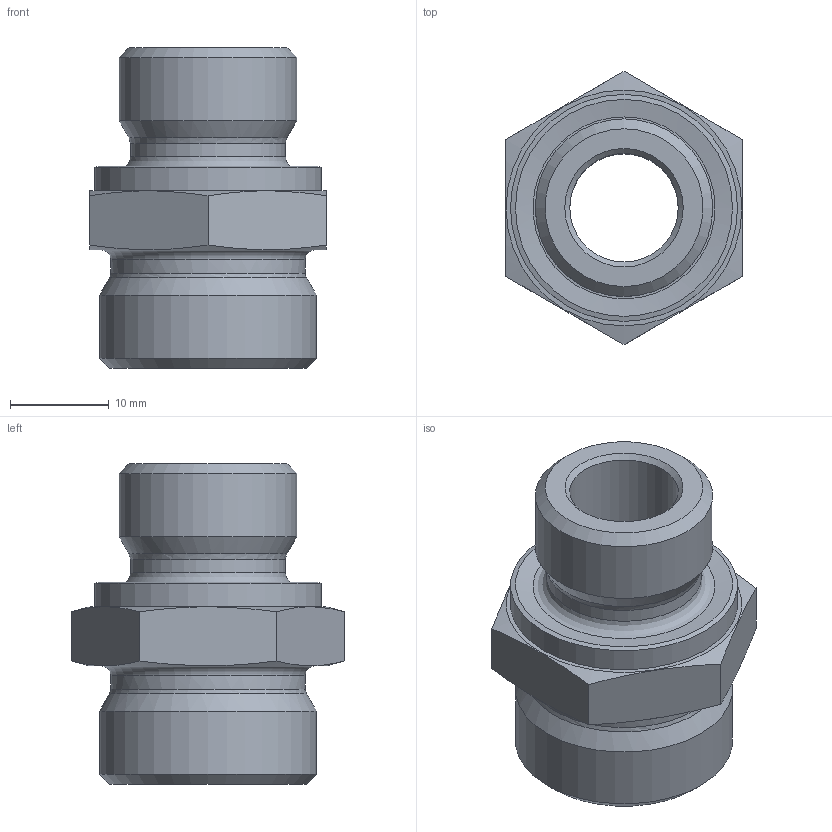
import cadquery as cq
import math

TOTAL_HEIGHT = 32.5
BORE_DIAMETER = 11.0
BORE_CHAMFER = 0.5
END_CHAMFER = 1.0

LOWER_END_DIAMETER = 22.0
UPPER_END_DIAMETER = 18.0
LOWER_NECK_DIAMETER = 19.7
UPPER_NECK_DIAMETER = 15.7
END_LENGTH = 7.42
RELIEF_ANGLE = 30.0
LOWER_RELIEF_RADIUS = 0.9
UPPER_RELIEF_RADIUS = 1.2
LOWER_SHOULDER_RADIUS = 1.0
UPPER_SHOULDER_RADIUS = 1.2

HEX_SIDES = 6
HEX_ACROSS_FLATS = 24.0
HEX_BOTTOM = 12.0
HEX_HEIGHT = 6.0
HEX_CHAMFER_ANGLE = 15.0
HEX_CHAMFER_DIAMETER = 23.9

COLLAR_DIAMETER = 23.0
COLLAR_HEIGHT = 2.5
SEAL_EDGE_DIAMETER = 22.0
SEAL_OUTER_ANGLE = 15.0
SEAL_INNER_ANGLE = 8.0

HEX_TOP = HEX_BOTTOM + HEX_HEIGHT
SEAL_EDGE_HEIGHT = HEX_TOP + COLLAR_HEIGHT
HALF_SIDE_ANGLE = 180 / HEX_SIDES
HEX_ACROSS_CORNERS = HEX_ACROSS_FLATS / math.cos(math.radians(HALF_SIDE_ANGLE))
SELECTION_MARGIN = 0.01


def rise(run, angle):
    """Height gained over a horizontal run on a slope measured from the horizontal."""
    return run * math.tan(math.radians(angle))


def revolve_profile(points):
    """Turn a closed (radius, height) outline about the Z axis."""
    return cq.Workplane("XZ").polyline(points).close().revolve(360, (0, 0), (0, 1))


def threaded_end(end_diameter, neck_diameter, root_points):
    """Chamfered end on Z = 0 with relief cone and neck, closed by root_points.

    Returns the body and the height of the corner between relief cone and neck.
    """
    end_radius = end_diameter / 2
    neck_radius = neck_diameter / 2
    relief_length = (end_radius - neck_radius) / math.tan(math.radians(RELIEF_ANGLE))
    corner_height = END_LENGTH + relief_length
    outline = [
        (0, 0),
        (end_radius - END_CHAMFER, 0),
        (end_radius, END_CHAMFER),
        (end_radius, END_LENGTH),
        (neck_radius, corner_height),
    ]
    return revolve_profile(outline + root_points), corner_height


def round_circle(body, diameter, height, radius):
    """Fillet the circular edge of the given diameter at the given height."""
    reach = diameter / 2 + SELECTION_MARGIN
    box = cq.selectors.BoxSelector(
        (-reach, -reach, height - SELECTION_MARGIN),
        (reach, reach, height + SELECTION_MARGIN),
        boundingbox=True,
    )
    return body.edges(box).fillet(radius)


def make_hexagon():
    """Hexagon with points on the Y axis and both ends chamfered at the corners."""
    prism = (
        cq.Workplane("XY")
        .workplane(offset=HEX_BOTTOM)
        .polygon(HEX_SIDES, HEX_ACROSS_CORNERS)
        .extrude(HEX_HEIGHT)
        .rotate((0, 0, 0), (0, 0, 1), HALF_SIDE_ANGLE)
    )
    flat_radius = HEX_CHAMFER_DIAMETER / 2
    corner_radius = HEX_ACROSS_CORNERS / 2
    drop = rise(corner_radius - flat_radius, HEX_CHAMFER_ANGLE)
    envelope = revolve_profile([
        (0, HEX_BOTTOM),
        (flat_radius, HEX_BOTTOM),
        (corner_radius, HEX_BOTTOM + drop),
        (corner_radius, HEX_TOP - drop),
        (flat_radius, HEX_TOP),
        (0, HEX_TOP),
    ])
    return prism.intersect(envelope)


def make_lower_end():
    """Lower end up to the underside of the hexagon."""
    neck_radius = LOWER_NECK_DIAMETER / 2
    body, corner_height = threaded_end(
        LOWER_END_DIAMETER,
        LOWER_NECK_DIAMETER,
        [(neck_radius, HEX_BOTTOM), (0, HEX_BOTTOM)],
    )
    return round_circle(body, LOWER_NECK_DIAMETER, corner_height, LOWER_RELIEF_RADIUS)


def make_upper_end():
    """Upper end and collar, outlined downwards from the top face and then turned over."""
    neck_radius = UPPER_NECK_DIAMETER / 2
    seal_radius = SEAL_EDGE_DIAMETER / 2
    collar_radius = COLLAR_DIAMETER / 2
    seal_depth = TOTAL_HEIGHT - SEAL_EDGE_HEIGHT
    collar_base_depth = TOTAL_HEIGHT - HEX_TOP
    root_depth = seal_depth + rise(seal_radius - neck_radius, SEAL_INNER_ANGLE)
    rim_depth = seal_depth + rise(collar_radius - seal_radius, SEAL_OUTER_ANGLE)
    body, corner_depth = threaded_end(
        UPPER_END_DIAMETER,
        UPPER_NECK_DIAMETER,
        [
            (neck_radius, root_depth),
            (seal_radius, seal_depth),
            (collar_radius, rim_depth),
            (collar_radius, collar_base_depth),
            (0, collar_base_depth),
        ],
    )
    body = round_circle(body, UPPER_NECK_DIAMETER, corner_depth, UPPER_RELIEF_RADIUS)
    body = round_circle(body, UPPER_NECK_DIAMETER, root_depth, UPPER_SHOULDER_RADIUS)
    return body.rotate((0, 0, 0), (1, 0, 0), 180).translate((0, 0, TOTAL_HEIGHT))


def make_bore():
    """Through bore, widened by a chamfer at the top end."""
    bore_radius = BORE_DIAMETER / 2
    return revolve_profile([
        (0, 0),
        (bore_radius, 0),
        (bore_radius, TOTAL_HEIGHT - BORE_CHAMFER),
        (bore_radius + BORE_CHAMFER, TOTAL_HEIGHT),
        (0, TOTAL_HEIGHT),
    ])


body = make_lower_end().union(make_hexagon()).union(make_upper_end())
body = round_circle(body, LOWER_NECK_DIAMETER, HEX_BOTTOM, LOWER_SHOULDER_RADIUS)
result = body.cut(make_bore())